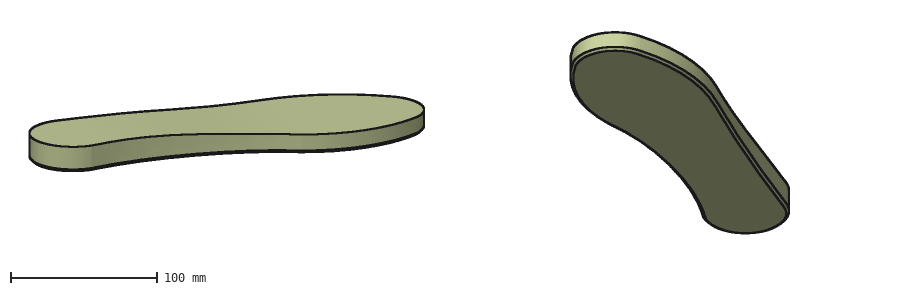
import cadquery as cq

length = 279.6
width = 87.8
heel_height = 18.2
toe_height = 13.5
bottom_chamfer = 2.0

heel_flat_end = 45.5
ramp_middle = 113.5
ramp_end = 2 * ramp_middle - heel_flat_end

heel_radius = 30.0
heel_center_x = 35.8
heel_left = (heel_center_x - heel_radius, heel_radius)
heel_right = (65.7, 32.2)
heel_back = (heel_center_x, 0)
ball_left = (0.5, 179.5)
ball_right = (80.8, 179.5)
toe_left = (24.5, 266.8)
toe_right = (73.5, 266.8)
toe_tip = (48.7, length)
left_waist = (4.8, 106.3)
left_bulge = (6.0, 229.5)
right_bulge = (width, 216.7)
right_waist = [(60.5, 78.3), (62.4, 113.5), (68.5, 146.5)]


def sole_outline():
    """Closed plan outline at the top of the bottom chamfer."""
    return (
        cq.Workplane("XY", origin=(0, 0, bottom_chamfer))
        .moveTo(*heel_left)
        .threePointArc(left_waist, ball_left)
        .threePointArc(left_bulge, toe_left)
        .threePointArc(toe_tip, toe_right)
        .threePointArc(right_bulge, ball_right)
        .spline([*reversed(right_waist), heel_right], includeCurrent=True)
        .threePointArc(heel_back, heel_left)
        .close()
    )


def sole_blank():
    """Heel-height sole whose bottom edge tapers in at 45 degrees."""
    upper = sole_outline().extrude(heel_height - bottom_chamfer)
    lower = sole_outline().extrude(-bottom_chamfer, taper=45)
    return upper.union(lower)


def height_profile():
    """Side profile: flat heel, an S-shaped ramp of two tangent arcs, flat forefoot."""
    margin = 2.8
    ramp_mid_height = (heel_height + toe_height) / 2
    return (
        cq.Workplane("YZ")
        .moveTo(-margin, 0)
        .lineTo(-margin, heel_height)
        .lineTo(heel_flat_end, heel_height)
        .tangentArcPoint((ramp_middle, ramp_mid_height), relative=False)
        .tangentArcPoint((ramp_end, toe_height), relative=False)
        .lineTo(length + margin, toe_height)
        .lineTo(length + margin, 0)
        .close()
        .extrude(width + 2 * margin)
        .translate((-margin, 0, 0))
    )


result = sole_blank().intersect(height_profile())